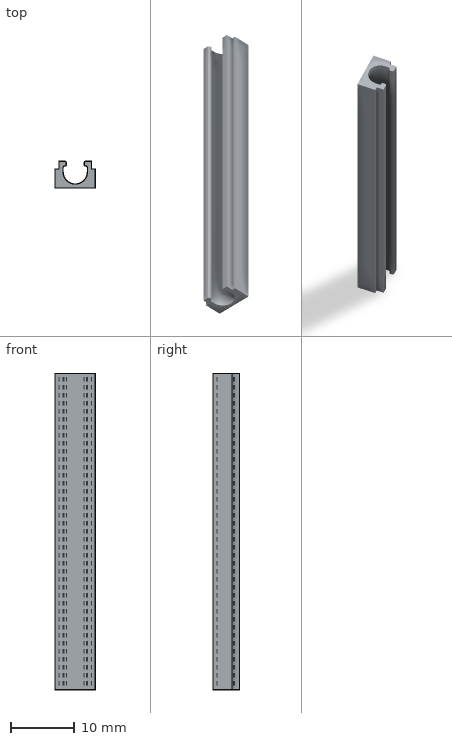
import cadquery as cq

length = 50.0
base_width = 6.4
height = 4.25
shoulder_height = 3.05
upper_width = 5.2
bore_radius = 1.9
floor_thickness = 0.65
mouth_width = 2.8
lip_thickness = 0.8
lip_rounding = 0.3
root_chamfer = 0.15
corner_search = 0.05

back_y = -height / 2
front_y = height / 2
bore_center_y = back_y + floor_thickness + bore_radius
lip_under_y = front_y - lip_thickness


def make_body():
    """Wide base with a narrower upper block, both over the full length."""
    base = cq.Workplane("XY").box(base_width, shoulder_height, length)
    base = base.translate((0, back_y + shoulder_height / 2, 0))
    upper = cq.Workplane("XY").box(upper_width, height, length)
    return base.union(upper)


def make_channel():
    """U-shaped bore that narrows to the mouth between the lips."""
    bore = (
        cq.Workplane("XY")
        .moveTo(-bore_radius, lip_under_y)
        .lineTo(-bore_radius, bore_center_y)
        .threePointArc((0, bore_center_y - bore_radius), (bore_radius, bore_center_y))
        .lineTo(bore_radius, lip_under_y)
        .close()
        .extrude(length / 2, both=True)
    )
    mouth_depth = front_y - bore_center_y
    mouth = cq.Workplane("XY").box(mouth_width, mouth_depth, length)
    mouth = mouth.translate((0, bore_center_y + mouth_depth / 2, 0))
    return bore.union(mouth)


def corner_edge(body, x, y):
    """The full-length edge that stands at (x, y)."""
    corner = cq.selectors.BoxSelector(
        (x - corner_search, y - corner_search, -length),
        (x + corner_search, y + corner_search, length),
    )
    return body.edges("|Z").edges(corner)


def finish_lips(body):
    """Round both mouth corners of each lip and bevel the root under it."""
    for side in (-1, 1):
        lip_x = side * mouth_width / 2
        body = corner_edge(body, lip_x, front_y).fillet(lip_rounding)
        body = corner_edge(body, lip_x, lip_under_y).fillet(lip_rounding)
        body = corner_edge(body, side * bore_radius, lip_under_y).chamfer(root_chamfer)
    return body


result = finish_lips(make_body().cut(make_channel()))